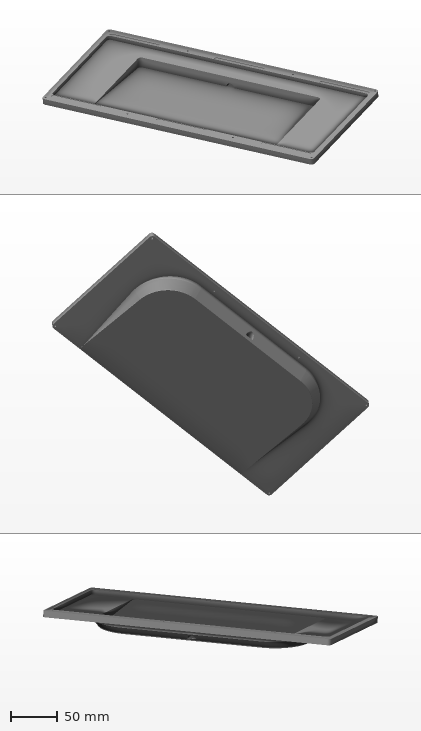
import cadquery as cq
import math

length = 329.5
width = 157.0
thickness = 7.0
corner_radius = 4.0
tilt = 6.0

recess_length = 317.5
recess_width = 133.0
recess_depth = 5.0

slot_length = 60.0
slot_width = 4.0
slot_depth = 0.5
slot_spacing = 127.5
slot_offset = 69.0

hole_diameter = 2.2
corner_hole_inset = 3.3
mid_hole_x = 64.0
mid_hole_offset = 71.0

pocket_length = 220.8
pocket_back = 46.5
pocket_front = -62.3
pocket_floor = 3.3

tub_margin = 19.8
tub_corner_radius = 50.8
tub_chamfer = 8.5
tub_foot = 1.0

cable_exit_diameter = 10.0
cable_exit_floor = 3.0

tilt_angle = math.radians(tilt)
depth = width * math.cos(tilt_angle) + thickness * math.sin(tilt_angle)
height = width * math.sin(tilt_angle) + thickness * math.cos(tilt_angle)
front_edge = thickness * math.sin(tilt_angle) - depth / 2


def tilted(flat):
    """Tilt a flat-drawn shape so that the plate's front bottom edge lies on Z = 0."""
    on_edge = flat.translate((0, width / 2, 0))
    return on_edge.rotate((0, 0, 0), (1, 0, 0), tilt).translate((0, front_edge, 0))


def rounded_block(x_size, y_size, z_size):
    """Block standing on Z = 0 with rounded upright edges."""
    block = cq.Workplane("XY").box(x_size, y_size, z_size, centered=(True, True, False))
    return block.edges("|Z").fillet(corner_radius)


def make_tub():
    """Level tub with rounded back corners and a 45 degree lower edge above a
    thin upright foot, kept below the plate."""
    half_length = pocket_length / 2 + tub_margin
    back = pocket_back + tub_margin
    front = front_edge - width / 2
    tub = (
        cq.Workplane("XY")
        .box(2 * half_length, back - front, height, centered=(True, False, False))
        .translate((0, front, 0))
        .edges("|Z and >Y")
        .fillet(tub_corner_radius)
        .faces("<Z")
        .chamfer(tub_chamfer)
        .translate((0, 0, tub_foot))
    )
    footed_tub = tub.faces("<Z").wires().toPending().workplane().extrude(tub_foot)
    below_plate = cq.Workplane("XY").box(
        length, width, 2 * height, centered=(True, True, False)
    ).translate((0, 0, thickness / 4 - 2 * height))
    return footed_tub.intersect(tilted(below_plate))


def make_slots():
    """Six round-ended slots, three along each long rim."""
    centers = [
        (column * slot_spacing, side * slot_offset)
        for column in (-1, 0, 1)
        for side in (-1, 1)
    ]
    return (
        cq.Workplane("XY", origin=(0, 0, thickness - slot_depth))
        .pushPoints(centers)
        .slot2D(slot_length, slot_width)
        .extrude(slot_depth)
    )


def make_holes():
    """Through holes: one in each corner and two along each long rim."""
    corner_x = length / 2 - corner_hole_inset
    corner_y = width / 2 - corner_hole_inset
    centers = [
        (x_side * x, y_side * y)
        for x, y in ((corner_x, corner_y), (mid_hole_x, mid_hole_offset))
        for x_side in (-1, 1)
        for y_side in (-1, 1)
    ]
    return cq.Workplane("XY").pushPoints(centers).circle(hole_diameter / 2).extrude(thickness)


def make_pocket():
    """Upright-walled pocket with a level floor."""
    middle = (pocket_back + pocket_front) / 2
    pocket = rounded_block(pocket_length, pocket_back - pocket_front, height)
    return pocket.translate((0, middle, pocket_floor))


def make_cable_exit():
    """Half-round tunnel, just below the pocket floor, from the pocket out through the tub's back."""
    radius = cable_exit_diameter / 2
    tunnel = cq.Workplane("XZ", origin=(0, pocket_back, cable_exit_floor))
    tunnel = tunnel.moveTo(-radius, 0).threePointArc((0, radius), (radius, 0)).close()
    return tunnel.extrude(-2 * tub_margin)


plate = rounded_block(length, width, thickness)
recess = rounded_block(recess_length, recess_width, recess_depth)
recess = recess.translate((0, 0, thickness - recess_depth))

result = (
    tilted(plate)
    .union(make_tub())
    .cut(tilted(recess))
    .cut(tilted(make_slots()))
    .cut(tilted(make_holes()))
    .cut(make_pocket())
    .cut(make_cable_exit())
)